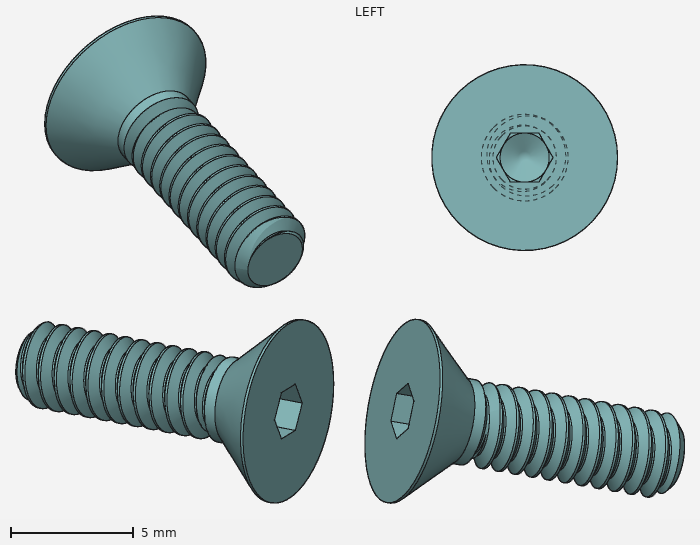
import cadquery as cq
import math

screw_length = 11.99
head_diameter = 7.57
head_rim = 0.12
countersink_angle = 82.0
shank_diameter = 3.53
shank_end = 2.93

pitch = 0.736
flank_angle = 30.0
root_diameter = 2.58
root_flat = 0.085
turns_per_cut = 4
thread_cuts = 3
cutter_overlap = 0.04

socket_across_flats = 2.0
socket_depth = 1.5
drill_point_angle = 120.0

head_radius = head_diameter / 2
shank_radius = shank_diameter / 2
root_radius = root_diameter / 2
thread_depth = shank_radius - root_radius
head_slope = math.tan(math.radians(countersink_angle / 2))
head_height = head_rim + (head_radius - shank_radius) / head_slope
flank_slope = math.tan(math.radians(flank_angle))
flank_width = thread_depth * flank_slope
undercut_center = shank_end + flank_width + root_flat / 2


def make_blank():
    """Head and shank turned about X, seam towards -Y, with a 45 degree chamfer at the tip."""
    return (
        cq.Workplane("XZ")
        .lineTo(0, head_radius)
        .lineTo(head_rim, head_radius)
        .lineTo(head_height, shank_radius)
        .lineTo(screw_length - thread_depth, shank_radius)
        .lineTo(screw_length, root_radius)
        .lineTo(screw_length, 0)
        .close()
        .revolve(360, (0, 0, 0), (1, 0, 0))
        .rotate((0, 0, 0), (1, 0, 0), 90)
    )


def groove_profile():
    """V profile with a flat root, in the XZ plane: radius along X, screw axis along Z."""
    cutter_radius = shank_radius + cutter_overlap
    half_root = root_flat / 2
    half_mouth = half_root + (cutter_radius - root_radius) * flank_slope
    return cq.Workplane("XZ").polyline(
        [
            (root_radius, -half_root),
            (cutter_radius, -half_mouth),
            (cutter_radius, half_mouth),
            (root_radius, half_root),
        ]
    ).close()


def place_on_screw(cutter):
    """Turn a cutter from the Z axis onto the X axis, so that it starts on the -Y side of the shank."""
    return (
        cutter.rotate((0, 0, 0), (0, 1, 0), 90)
        .rotate((0, 0, 0), (1, 0, 0), -90)
        .translate((undercut_center, 0, 0))
    )


def make_undercut():
    """Ring groove next to the plain shank, where the thread begins."""
    return place_on_screw(groove_profile().revolve(360, (0, 0, 0), (0, 1, 0)))


def make_groove_section():
    """A few whole turns of the right-hand helical groove, starting at the undercut."""
    helix = cq.Wire.makeHelix(pitch, pitch * turns_per_cut, root_radius)
    return place_on_screw(groove_profile().sweep(cq.Workplane(obj=helix), isFrenet=True))


def make_socket():
    """Hexagon socket with corners towards +Y and -Y, ending in a conical drill point."""
    across_corners = 2 * socket_across_flats / math.sqrt(3)
    drill_radius = socket_across_flats / 2
    point_depth = drill_radius / math.tan(math.radians(drill_point_angle / 2))
    hexagon = cq.Workplane("YZ").polygon(6, across_corners).extrude(socket_depth)
    socket_bottom = cq.Vector(socket_depth, 0, 0)
    drill_point = cq.Solid.makeCone(drill_radius, 0, point_depth, socket_bottom, cq.Vector(1, 0, 0))
    return hexagon.union(cq.Workplane(obj=drill_point))


def cut_thread(screw):
    """Cut the thread to the tip in equal sections, each one carrying on where the last one ended."""
    section = make_groove_section()
    section_length = turns_per_cut * pitch
    for index in range(thread_cuts):
        screw = screw.cut(section.translate((index * section_length, 0, 0)))
    return screw


threaded_screw = cut_thread(make_blank().cut(make_undercut()))
result = threaded_screw.cut(make_socket()).solids()